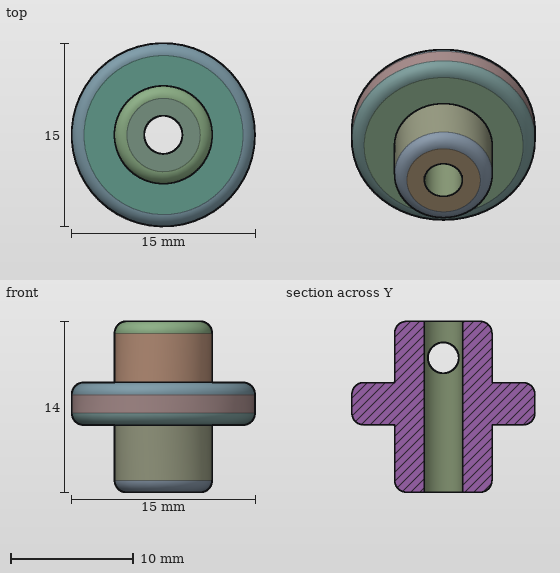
import cadquery as cq

total_height = 14.0
hub_diameter = 8.0
flange_diameter = 15.0
flange_thickness = 3.5
upper_hub_height = 5.0
edge_radius = 1.0
bore_diameter = 3.1

screw_hole_diameter = 2.5
screw_hole_above_flange = 2.0

flange_top = total_height - upper_hub_height
flange_bottom = flange_top - flange_thickness
screw_hole_height = flange_top + screw_hole_above_flange


def rounded_disc(diameter, bottom, height):
    """Disc on the Z axis with both rims rounded."""
    disc = cq.Workplane("XY").workplane(offset=bottom).circle(diameter / 2).extrude(height)
    return disc.edges("%CIRCLE").fillet(edge_radius)


def bore():
    """Through bore along the part axis."""
    return cq.Workplane("XY").circle(bore_diameter / 2).extrude(total_height)


def screw_hole():
    """Hole running from the part axis outward along +Y."""
    start = cq.Workplane("XZ", origin=(0, 0, screw_hole_height))
    return start.circle(screw_hole_diameter / 2).extrude(-hub_diameter / 2)


hub = rounded_disc(hub_diameter, 0, total_height)
flange = rounded_disc(flange_diameter, flange_bottom, flange_thickness)

result = hub.union(flange).cut(bore()).cut(screw_hole())